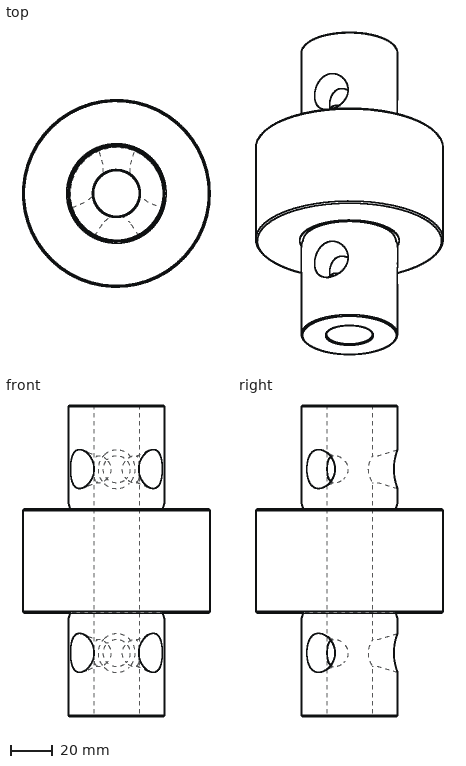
import cadquery as cq

overall_length = 149.4
collar_diameter = 90.0
collar_length = 50.0
collar_chamfer = 0.8

spigot_diameter = 46.2
spigot_chamfer = 0.6
bore_diameter = 22.0
bore_chamfer = 0.5

neck_diameter = 44.4
neck_height = 2.8
ring_diameter = 47.8
ring_depth = 0.3

pin_height = 44.1
pin_angles = (90, 220, 320)
pin_mouth_diameter = 18.7
pin_hole_diameter = 13.0
pin_cone_depth = 9.4
pin_tool_overrun = 1.0

half_length = overall_length / 2
half_collar = collar_length / 2
spigot_radius = spigot_diameter / 2


def make_collar():
    """Central disc with both rims chamfered."""
    disc = cq.Workplane("XY", origin=(0, 0, -half_collar)).circle(collar_diameter / 2).extrude(collar_length)
    return disc.edges("%CIRCLE").chamfer(collar_chamfer)


def make_spigot_bar():
    """Straight bar running through the collar and forming both spigots."""
    bar = cq.Workplane("XY", origin=(0, 0, -half_length)).circle(spigot_radius).extrude(overall_length)
    return bar.edges("%CIRCLE").chamfer(spigot_chamfer)


def make_neck_cut():
    """Ring of material that tapers the upper neck and sinks into the collar face."""
    neck_radius = neck_diameter / 2
    neck_top = half_collar + neck_height
    profile = [
        (neck_radius, half_collar - ring_depth),
        (spigot_radius, neck_top),
        (ring_diameter / 2, neck_top),
        (ring_diameter / 2, half_collar - ring_depth),
    ]
    return cq.Workplane("XZ").polyline(profile).close().revolve(360, (0, 0), (0, 1))


def make_bore():
    """Through bore with a chamfer at each end."""
    radius = bore_diameter / 2
    mouth_radius = radius + bore_chamfer
    profile = [
        (0, -half_length),
        (mouth_radius, -half_length),
        (radius, -half_length + bore_chamfer),
        (radius, half_length - bore_chamfer),
        (mouth_radius, half_length),
        (0, half_length),
    ]
    return cq.Workplane("XZ").polyline(profile).close().revolve(360, (0, 0), (0, 1))


def make_pin_hole(angle, height):
    """Radial hole whose cone narrows inward to a plain hole that opens into the bore."""
    hole_radius = pin_hole_diameter / 2
    mouth_radius = pin_mouth_diameter / 2
    cone_slope = (mouth_radius - hole_radius) / pin_cone_depth
    outer_reach = spigot_radius + pin_tool_overrun
    outer_radius = mouth_radius + cone_slope * pin_tool_overrun
    cone_start = spigot_radius - pin_cone_depth
    profile = [
        (0, 0),
        (0, hole_radius),
        (cone_start, hole_radius),
        (outer_reach, outer_radius),
        (outer_reach, 0),
    ]
    hole = cq.Workplane("XZ").polyline(profile).close().revolve(360, (0, 0), (1, 0))
    return hole.rotate((0, 0, 0), (0, 0, 1), angle).translate((0, 0, height))


result = make_collar().union(make_spigot_bar())
neck_cut = make_neck_cut()
result = result.cut(neck_cut).cut(neck_cut.mirror("XY"))
result = result.cut(make_bore())
for height in (-pin_height, pin_height):
    for angle in pin_angles:
        result = result.cut(make_pin_hole(angle, height))